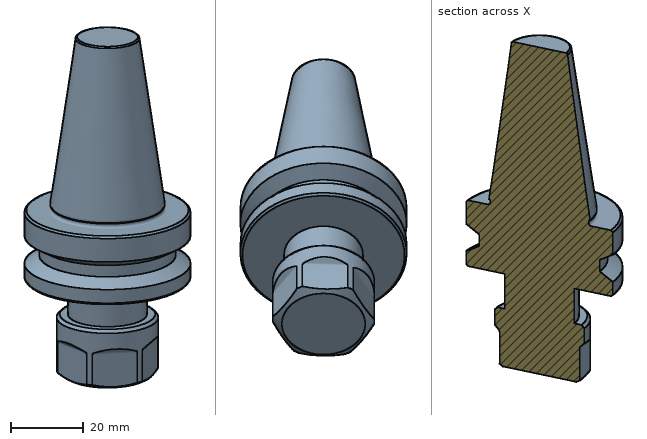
import cadquery as cq
import math

total_height = 98.4
flange_bottom = 27.9
flange_height = 20.0
flange_top = flange_bottom + flange_height

taper_ratio = 7 / 24
gauge_radius = 15.8
gauge_height = 50.1
gauge_band = 0.6
relief_radius = 15.4
relief_fillet = 0.8
tip_chamfer = 0.4
tip_radius = gauge_radius - (total_height - gauge_height) * taper_ratio / 2
relief_top = gauge_height - gauge_band - (gauge_radius - relief_radius)

flange_radius = 46.0 / 2
flange_chamfer = 0.6
groove_radius = 37.8 / 2
groove_floor_bottom = 34.8
groove_floor_height = 3.3
groove_flank_angle = math.radians(30)
groove_flank_height = (flange_radius - groove_radius) * math.tan(groove_flank_angle)
groove_floor_top = groove_floor_bottom + groove_floor_height

neck_radius = 10.9

nut_height = 17.6
nut_radius = 14.1
nut_top_chamfer = 0.9
nut_face_radius = 11.5
nut_face_angle = math.radians(30)
nut_face_chamfer = (nut_radius - nut_face_radius) * math.tan(nut_face_angle)

flat_count = 6
flat_apothem = 12.6
flat_top = 12.1
flat_root_fillet = 0.8
flat_ramp = nut_radius - flat_apothem
flat_clearance = 2.0


def make_turned_body():
    """Revolve the half section of the taper, flange, neck and nut."""
    return (
        cq.Workplane("XZ")
        .moveTo(0, 0)
        .lineTo(nut_face_radius, 0)
        .lineTo(nut_radius, nut_face_chamfer)
        .lineTo(nut_radius, nut_height - nut_top_chamfer)
        .lineTo(nut_radius - nut_top_chamfer, nut_height)
        .lineTo(neck_radius, nut_height)
        .lineTo(neck_radius, flange_bottom)
        .lineTo(flange_radius - flange_chamfer, flange_bottom)
        .lineTo(flange_radius, flange_bottom + flange_chamfer)
        .lineTo(flange_radius, groove_floor_bottom - groove_flank_height)
        .lineTo(groove_radius, groove_floor_bottom)
        .lineTo(groove_radius, groove_floor_top)
        .lineTo(flange_radius, groove_floor_top + groove_flank_height)
        .lineTo(flange_radius, flange_top - flange_chamfer)
        .lineTo(flange_radius - flange_chamfer, flange_top)
        .lineTo(relief_radius + relief_fillet, flange_top)
        .radiusArc((relief_radius, flange_top + relief_fillet), relief_fillet)
        .lineTo(relief_radius, relief_top)
        .lineTo(gauge_radius, gauge_height - gauge_band)
        .lineTo(gauge_radius, gauge_height)
        .lineTo(tip_radius + tip_chamfer * taper_ratio / 2, total_height - tip_chamfer)
        .lineTo(tip_radius - tip_chamfer, total_height)
        .lineTo(0, total_height)
        .close()
        .revolve(360, (0, 0, 0), (0, 1, 0))
    )


def make_flat_cutter():
    """Build the tool that cuts the wrench flat on the +Y side of the nut."""
    outer = nut_radius + flat_clearance
    tool = (
        cq.Workplane("YZ")
        .moveTo(flat_apothem, -flat_clearance)
        .lineTo(outer, -flat_clearance)
        .lineTo(outer, flat_top + flat_clearance)
        .lineTo(flat_apothem, flat_top - flat_ramp)
        .close()
        .extrude(nut_radius, both=True)
    )
    root = cq.selectors.NearestToPointSelector((0, flat_apothem, flat_top - flat_ramp))
    return tool.edges(root).fillet(flat_root_fillet)


result = make_turned_body()
flat_cutter = make_flat_cutter()
for index in range(flat_count):
    angle = index * 360 / flat_count
    result = result.cut(flat_cutter.rotate((0, 0, 0), (0, 0, 1), angle))